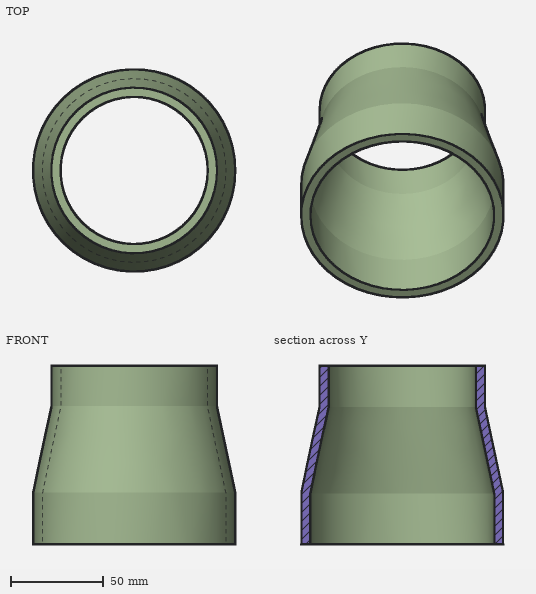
import math

import cadquery as cq

large_diameter = 110.0
small_diameter = 90.0
wall_thickness = 5.1
large_end_length = 28.0
taper_length = 47.0
small_end_length = 22.0

large_radius = large_diameter / 2
small_radius = small_diameter / 2
taper_bottom = large_end_length
taper_top = taper_bottom + taper_length
total_height = taper_top + small_end_length

taper_angle = math.atan2(large_radius - small_radius, taper_length)
bore_edge_drop = wall_thickness * math.tan(taper_angle / 2)


def stepped_taper(lower_radius, upper_radius, lower_edge, upper_edge):
    """Solid of two coaxial cylinders joined by a cone, standing on Z = 0."""
    half_profile = (
        cq.Workplane("XZ")
        .lineTo(lower_radius, 0)
        .lineTo(lower_radius, lower_edge)
        .lineTo(upper_radius, upper_edge)
        .lineTo(upper_radius, total_height)
        .lineTo(0, total_height)
        .close()
    )
    return half_profile.revolve(360, (0, 0, 0), (0, 1, 0))


outer_body = stepped_taper(large_radius, small_radius, taper_bottom, taper_top)
bore = stepped_taper(
    large_radius - wall_thickness,
    small_radius - wall_thickness,
    taper_bottom - bore_edge_drop,
    taper_top - bore_edge_drop,
)

result = outer_body.cut(bore)